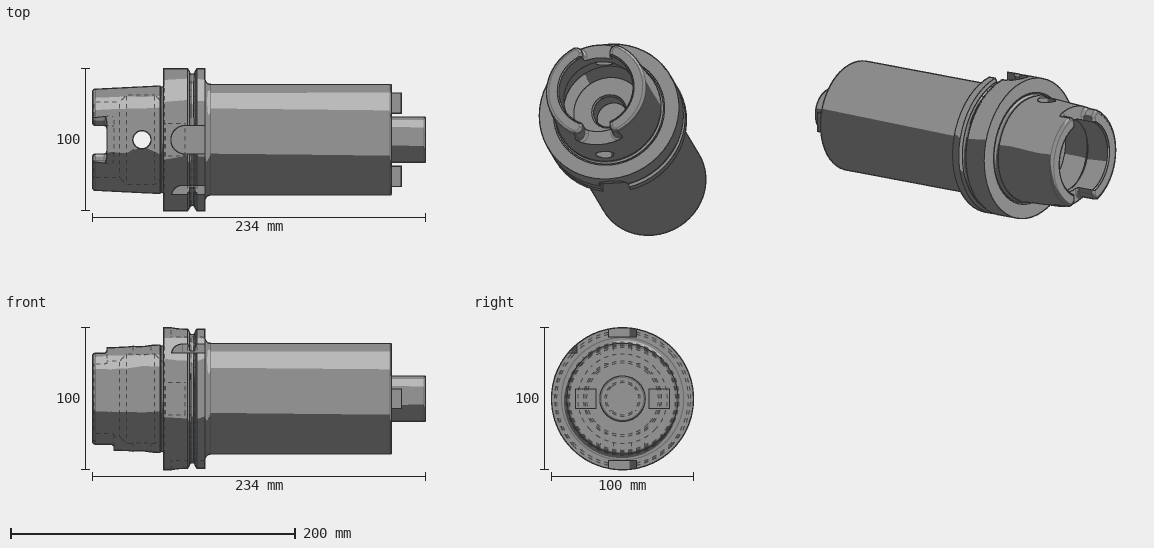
import cadquery as cq
import math


shank_length = 50.0
gauge_distance = 10.0
gauge_radius = 37.5
taper_slope = 0.05
shank_end_round = 2.0
taper_end_x = -2.7
neck_radius = 37.2
neck_start_x = -2.0
neck_root_round = 1.6
face_undercut_depth = 0.4
face_undercut_radius = 39.8

bore_radius = 26.5
bore_chamfer = 1.0
bore_lip_length = 19.0
recess_radius = 31.5
bore_bottom_x = 0.0
bore_bottom_radius = 25.2
tube_hole_radius = 11.3
tube_hole_chamfer = 1.1
tube_hole_depth = 15.0

cross_hole_diameter = 12.6
cross_hole_x = -15.3

drive_slot_width = 20.0
drive_slot_depth_top = 10.0
drive_slot_depth_bottom = 15.0
drive_slot_floor_round = 2.0
drive_slot_inner_height = 15.0
tang_shoulder_height = 32.0
tang_round = 4.5

flange_radius = 50.0
flange_width = 29.0
groove_center_x = 20.1
groove_mouth_width = 6.4
groove_throat_width = 3.7
groove_floor_width = 1.6
groove_throat_radius = 47.8
groove_floor_radius = 46.3

keyway_width = 20.0
keyway_floor_height = 43.4
keyway_start_x = 5.0
notch_wall_offset = 32.0
notch_corner_radius = 8.0
notch_start_x = 5.3

body_radius = 39.0
body_end_x = 160.0
body_end_round = 1.0
body_root_round = 4.0
pilot_radius = 16.0
pilot_length = 24.0
pilot_end_round = 1.0

key_width = 13.6
key_inner_radius = 18.6
key_outer_radius = 33.0
key_height = 7.0
key_embed = 2.0


def taper_radius(x):
    return gauge_radius + taper_slope * (x + gauge_distance)


def point_on_arc(center, radius, angle):
    """Point at the given angle (degrees) on a planar arc."""
    direction = math.radians(angle)
    return (center[0] + radius * math.cos(direction), center[1] + radius * math.sin(direction))


def revolve_about_x(profile):
    return profile.close().revolve(360, (0, 0, 0), (1, 0, 0))


def make_outer_form():
    shank_end_x = -shank_length
    neck_root_center = (face_undercut_depth - neck_root_round, neck_radius + neck_root_round)
    root_center = (flange_width + body_root_round, body_radius + body_root_round)
    body_edge_center = (body_end_x - body_end_round, body_radius - body_end_round)
    pilot_end_x = body_end_x + pilot_length
    pilot_edge_center = (pilot_end_x - pilot_end_round, pilot_radius - pilot_end_round)
    profile = (
        cq.Workplane("XY")
        .moveTo(shank_end_x, 0)
        .lineTo(shank_end_x, taper_radius(shank_end_x))
        .lineTo(taper_end_x, taper_radius(taper_end_x))
        .lineTo(neck_start_x, neck_radius)
        .lineTo(neck_root_center[0], neck_radius)
        .threePointArc(
            point_on_arc(neck_root_center, neck_root_round, 315),
            (face_undercut_depth, neck_root_center[1]),
        )
        .lineTo(0, face_undercut_radius)
        .lineTo(0, flange_radius)
        .lineTo(flange_width, flange_radius)
        .lineTo(flange_width, root_center[1])
        .threePointArc(
            point_on_arc(root_center, body_root_round, 225),
            (root_center[0], body_radius),
        )
        .lineTo(body_edge_center[0], body_radius)
        .threePointArc(
            point_on_arc(body_edge_center, body_end_round, 45),
            (body_end_x, body_edge_center[1]),
        )
        .lineTo(body_end_x, pilot_radius)
        .lineTo(pilot_edge_center[0], pilot_radius)
        .threePointArc(
            point_on_arc(pilot_edge_center, pilot_end_round, 45),
            (pilot_end_x, pilot_edge_center[1]),
        )
        .lineTo(pilot_end_x, 0)
    )
    return revolve_about_x(profile)


def make_bore():
    mouth_x = -shank_length
    recess_flank = recess_radius - bore_radius
    bottom_flank = recess_radius - bore_bottom_radius
    lip_end_x = mouth_x + bore_lip_length
    profile = (
        cq.Workplane("XY")
        .moveTo(mouth_x, 0)
        .lineTo(mouth_x, bore_radius + bore_chamfer)
        .lineTo(mouth_x + bore_chamfer, bore_radius)
        .lineTo(lip_end_x, bore_radius)
        .lineTo(lip_end_x + recess_flank, recess_radius)
        .lineTo(bore_bottom_x - bottom_flank, recess_radius)
        .lineTo(bore_bottom_x, bore_bottom_radius)
        .lineTo(bore_bottom_x, tube_hole_radius + tube_hole_chamfer)
        .lineTo(bore_bottom_x + tube_hole_chamfer, tube_hole_radius)
        .lineTo(bore_bottom_x + tube_hole_depth, tube_hole_radius)
        .lineTo(bore_bottom_x + tube_hole_depth, 0)
    )
    return revolve_about_x(profile)


def make_cross_hole():
    return (
        cq.Workplane("XY")
        .center(cross_hole_x, 0)
        .circle(cross_hole_diameter / 2)
        .extrude(flange_radius, both=True)
    )


def make_gripper_groove():
    half_mouth = groove_mouth_width / 2
    half_throat = groove_throat_width / 2
    half_floor = groove_floor_width / 2
    corner_radius = half_throat - half_floor
    corner_center_radius = groove_floor_radius + corner_radius
    left_center = (groove_center_x - half_floor, corner_center_radius)
    right_center = (groove_center_x + half_floor, corner_center_radius)
    profile = (
        cq.Workplane("XY")
        .moveTo(groove_center_x - half_mouth, flange_radius)
        .lineTo(groove_center_x - half_throat, groove_throat_radius)
        .lineTo(groove_center_x - half_throat, corner_center_radius)
        .threePointArc(
            point_on_arc(left_center, corner_radius, 225),
            (left_center[0], groove_floor_radius),
        )
        .lineTo(right_center[0], groove_floor_radius)
        .threePointArc(
            point_on_arc(right_center, corner_radius, 315),
            (groove_center_x + half_throat, corner_center_radius),
        )
        .lineTo(groove_center_x + half_throat, groove_throat_radius)
        .lineTo(groove_center_x + half_mouth, flange_radius)
    )
    return revolve_about_x(profile)


def make_drive_slot(depth):
    """Slot on the +Z side, open at the shank end and rounded at its floor."""
    half_width = drive_slot_width / 2
    shoulder = tang_shoulder_height
    arc_center = (half_width + tang_round, shoulder - tang_round)
    arc_middle = point_on_arc(arc_center, tang_round, 135)
    reach = flange_radius
    slot = (
        cq.Workplane("YZ", origin=(-shank_length, 0, 0))
        .moveTo(-half_width, drive_slot_inner_height)
        .lineTo(half_width, drive_slot_inner_height)
        .lineTo(half_width, arc_center[1])
        .threePointArc(arc_middle, (arc_center[0], shoulder))
        .lineTo(reach, shoulder)
        .lineTo(reach, reach)
        .lineTo(-reach, reach)
        .lineTo(-reach, shoulder)
        .lineTo(-arc_center[0], shoulder)
        .threePointArc((-arc_middle[0], arc_middle[1]), (-half_width, arc_center[1]))
        .close()
        .extrude(depth)
    )
    return slot.faces(">X").edges("not(>Z or <Z or >Y or <Y)").fillet(drive_slot_floor_round)


def cut_drive_slots(body):
    bottom_slot = make_drive_slot(drive_slot_depth_bottom).rotate((0, 0, 0), (1, 0, 0), 180)
    return body.cut(make_drive_slot(drive_slot_depth_top)).cut(bottom_slot)


def make_keyway():
    """Round-ended flange keyway on the +Z side."""
    end_radius = keyway_width / 2
    end_center_x = keyway_start_x + end_radius
    height = flange_radius - keyway_floor_height
    plane = cq.Workplane("XY", origin=(0, 0, keyway_floor_height))
    return (
        plane.moveTo(flange_width, -end_radius)
        .lineTo(end_center_x, -end_radius)
        .threePointArc((keyway_start_x, 0), (end_center_x, end_radius))
        .lineTo(flange_width, end_radius)
        .close()
        .extrude(height)
    )


def make_orientation_notch():
    """Corner notch at -Y, +Z with walls parallel to XY and XZ."""
    size = flange_radius - notch_wall_offset
    return (
        cq.Workplane("XY", origin=(notch_start_x, -flange_radius, notch_wall_offset))
        .rect(flange_width - notch_start_x, size, centered=False)
        .extrude(size)
        .edges("|Z and <X and >Y")
        .fillet(notch_corner_radius)
    )


def make_drive_keys():
    key = cq.Workplane("XY").box(
        key_height + key_embed,
        key_outer_radius - key_inner_radius,
        key_width,
        centered=(False, False, True),
    ).translate((body_end_x - key_embed, key_inner_radius, 0))
    return key.union(key.mirror("XZ"))


body = make_outer_form()
body = cut_drive_slots(body)
body = body.faces("<X").edges().fillet(shank_end_round)
body = body.cut(make_bore()).cut(make_gripper_groove())
body = body.cut(make_cross_hole())
keyway = make_keyway()
body = body.cut(keyway).cut(keyway.mirror("XY"))
body = body.cut(make_orientation_notch())
result = body.union(make_drive_keys())